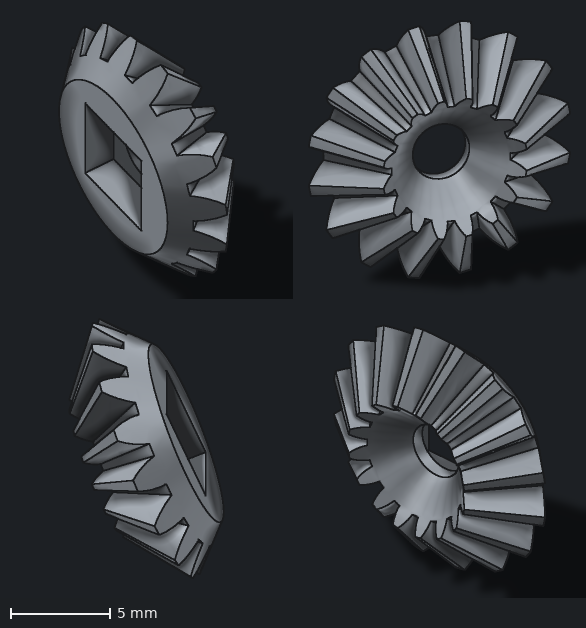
import cadquery as cq
import math

tooth_count = 16
front_radius = 4.83
width = 4.8
tip_radius = 7.02
apex_y = 7.94

square_side = 5.0
square_depth = 1.75
bore_radius = 1.5

root_half_gap = 0.33
root_distance = 5.76
flank_half_gap = 0.64
flank_distance = 6.43
tip_half_gap = 1.07
tip_distance = math.sqrt(tip_radius**2 - tip_half_gap**2)
gap_overshoot = 1.39
cutter_end_y = width + 0.7

tip_y = tip_radius - front_radius
back_radius = tip_radius * (apex_y - width) / (apex_y - tip_y)
hollow_tip_y = width - back_radius


def gear_blank():
    """Revolve the untoothed cones, with the back hollowed down to the axis."""
    return (
        cq.Workplane("XY")
        .polyline([
            (0, 0),
            (front_radius, 0),
            (tip_radius, tip_y),
            (back_radius, width),
            (0, hollow_tip_y),
        ])
        .close()
        .revolve(360, (0, 0, 0), (0, 1, 0))
    )


def project_from_apex(half_gap, distance, y):
    """Carry a point of the front cone along its line to the apex, onto the plane at y."""
    cone_y = math.hypot(half_gap, distance) - front_radius
    scale = (apex_y - y) / (apex_y - cone_y)
    return cq.Vector(half_gap * scale, y, distance * scale)


def gap_outline(y):
    """Outline of one tooth gap, pointing along +Z, in the plane at y."""
    root_left = project_from_apex(-root_half_gap, root_distance, y)
    flank_left = project_from_apex(-flank_half_gap, flank_distance, y)
    tip_left = project_from_apex(-tip_half_gap, tip_distance, y)
    root_right = project_from_apex(root_half_gap, root_distance, y)
    flank_right = project_from_apex(flank_half_gap, flank_distance, y)
    tip_right = project_from_apex(tip_half_gap, tip_distance, y)
    outward = cq.Vector(0, 0, gap_overshoot)
    return cq.Wire.assembleEdges([
        cq.Edge.makeLine(root_left, root_right),
        cq.Edge.makeThreePointArc(root_right, flank_right, tip_right),
        cq.Edge.makeLine(tip_right, tip_right + outward),
        cq.Edge.makeLine(tip_right + outward, tip_left + outward),
        cq.Edge.makeLine(tip_left + outward, tip_left),
        cq.Edge.makeThreePointArc(tip_left, flank_left, root_left),
    ])


def gap_cutter():
    """Tooth gap narrowing towards the apex."""
    return cq.Workplane(obj=cq.Solid.makeLoft([gap_outline(0), gap_outline(cutter_end_y)], True))


def square_pocket():
    """Square recess in the front face."""
    return cq.Workplane("XY").box(square_side, square_depth, square_side, centered=(True, False, True))


def bore():
    """Round hole along the whole axis."""
    return cq.Workplane("XZ").circle(bore_radius).extrude(-width)


result = gear_blank().cut(square_pocket()).cut(bore())
single_gap = gap_cutter()
for index in range(tooth_count):
    angle = index * 360 / tooth_count
    result = result.cut(single_gap.rotate((0, 0, 0), (0, 1, 0), angle))